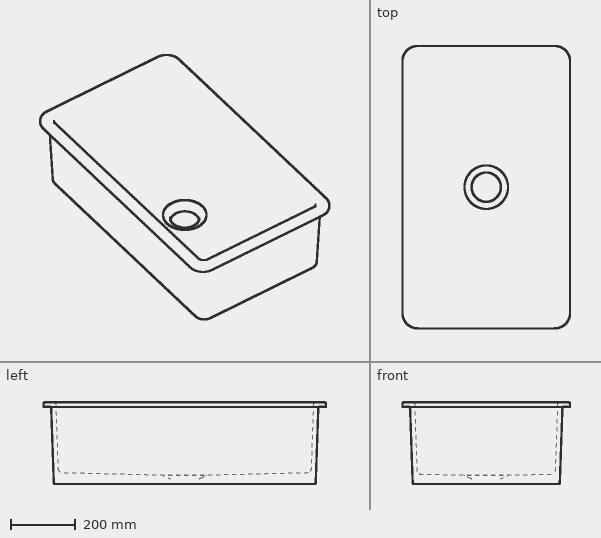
import cadquery as cq

length = 876.0
width = 520.0
height = 254.0

flange_thickness = 15.0
flange_corner_radius = 48.0
flange_top_round = 6.0
flange_bottom_round = 3.0
flange_underside = height - flange_thickness

draft = 2.0
shell_inset = 24.0
shell_corner_radius = 34.0
shell_bottom_round = 5.0
neck_round = 3.0

rim_width = 32.0
rim_round = 6.0
bowl_inset = rim_width + rim_round
bowl_corner_radius = 19.0
bowl_floor_round = 14.0

floor_low_point = 26.0
floor_rise_x = 5.0
floor_rise_y = 10.5
floor_high_point = floor_low_point + floor_rise_x + floor_rise_y

drain_diameter = 90.0
dish_diameter = 135.0
dish_depth = 10.0
dish_bottom = floor_low_point - dish_depth
drain_edge_round = 3.5

pick_margin = 1.0


def tapered_block(inset, top, corner_radius):
    """Block from Z = 0 up to the given level, wider at the top, with corners of constant radius."""
    block = (
        cq.Workplane("XY", origin=(0, 0, top))
        .rect(width - 2 * inset, length - 2 * inset)
        .extrude(-top, taper=draft)
    )
    return block.edges("not(|X or |Y)").fillet(corner_radius)


def edges_at_level(level, size_x, size_y):
    """Selector for the edges at one level that fit in a centred rectangle."""
    reach_x = size_x / 2 + pick_margin
    reach_y = size_y / 2 + pick_margin
    return cq.selectors.BoxSelector(
        (-reach_x, -reach_y, level - pick_margin),
        (reach_x, reach_y, level + pick_margin),
        boundingbox=True,
    )


def make_flange():
    return (
        cq.Workplane("XY", origin=(0, 0, flange_underside))
        .rect(width, length)
        .extrude(flange_thickness)
        .edges("|Z")
        .fillet(flange_corner_radius)
        .faces(">Z")
        .edges()
        .fillet(flange_top_round)
        .faces("<Z")
        .edges()
        .fillet(flange_bottom_round)
    )


def make_outside():
    """Flange on the tapered shell, with the neck between them rounded."""
    shell = tapered_block(shell_inset, flange_underside, shell_corner_radius)
    shell = shell.faces("<Z").edges().fillet(shell_bottom_round)
    neck = edges_at_level(flange_underside, width - 2 * shell_inset, length - 2 * shell_inset)
    return make_flange().union(shell).edges(neck).fillet(neck_round)


def cut_sloped_floor(space):
    """Keep the part of the space that lies above all four floor planes."""
    slope_x = floor_rise_x / (width / 2)
    slope_y = floor_rise_y / (length / 2)
    slab_size = 2 * length
    for side_x in (-1, 1):
        for side_y in (-1, 1):
            floor_plane = cq.Plane(
                origin=(0, 0, floor_low_point),
                xDir=(1, 0, side_x * slope_x),
                normal=(-side_x * slope_x, -side_y * slope_y, 1),
            )
            below_floor = cq.Workplane(floor_plane).rect(slab_size, slab_size).extrude(-height)
            space = space.cut(below_floor)
    return space


def make_bowl():
    """Hollow of the bowl, with rounds where the walls meet the floor."""
    bowl = cut_sloped_floor(tapered_block(bowl_inset, height, bowl_corner_radius))
    low_edges = cq.selectors.BoxSelector((-width, -length, 0), (width, length, floor_high_point))
    valleys = cq.selectors.BoxSelector(
        (-width / 3, -length / 3, 0), (width / 3, length / 3, floor_high_point)
    )
    return bowl.edges(low_edges - valleys).fillet(bowl_floor_round)


def round_mouth(sink):
    """Round the edge where the flange top turns down into the bowl."""
    mouth = edges_at_level(height, width - 2 * bowl_inset, length - 2 * bowl_inset)
    return sink.edges(mouth).fillet(rim_round)


def make_drain():
    """Straight hole opening into a conical dish, with the edge between them rounded."""
    hole = cq.Workplane("XY").circle(drain_diameter / 2).extrude(dish_bottom)
    dish = (
        cq.Workplane("XY", origin=(0, 0, dish_bottom))
        .circle(drain_diameter / 2)
        .workplane(offset=dish_depth)
        .circle(dish_diameter / 2)
        .loft()
    )
    drain_edge = edges_at_level(dish_bottom, drain_diameter, drain_diameter)
    drain = hole.union(dish).edges(drain_edge).fillet(drain_edge_round)
    band = (
        cq.Workplane("XY", origin=(0, 0, floor_low_point))
        .circle(dish_diameter / 2)
        .extrude(floor_high_point - floor_low_point)
    )
    return drain.union(band)


sink = make_outside().cut(make_bowl())
result = round_mouth(sink).cut(make_drain())